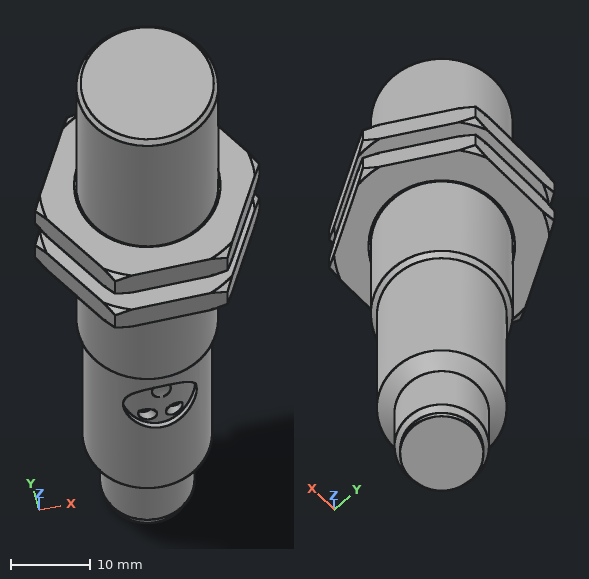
import cadquery as cq
import math

TOTAL_HEIGHT = 95.0
BARREL_DIA = 18.0
BARREL_BOTTOM = 39.6
SENSING_FACE_DIA = 16.8
BARREL_TOP_CHAMFER = 0.7
BODY_DIA = 16.4
BODY_TOP = 39.0
BODY_BOTTOM = 12.8
PLUG_DIA = 12.0
PLUG_TOP = 11.4
PLUG_TIP_DIA = 10.5
PLUG_CHAMFER_TOP = 1.9
PLUG_CHAMFER_BOTTOM = 0.95

FACE_RING_DIAS = (16.4, 13.5, 9.5)
FACE_RING_DEPTH = 0.5

SLEEVE_BOTTOM = 14.7
SLEEVE_TOP = 36.8
NOTCH_WIDTH = 10.5

PANEL_DIA = 9.6
PANEL_Z = 31.6
PANEL_FLOOR_RADIUS = 7.5
DIMPLE_BALL_DIA = 8.3
DIMPLE_DIA = 3.0
DIMPLE_Z = 34.3
LAMP_DIA = 2.4
LAMP_BASE_DIA = 1.4
LAMP_DEPTH = 0.9
LAMP_SPACING = 3.8
LAMP_Z = 29.1

NUT_CORNERS = 29.3
NUT_THICKNESS = 4.0
NUT_FACE_DIA = 27.4
NUT_CHAMFER_ANGLE = 30.0
NUT_BORE_CHAMFER = 0.3
NUT_BOTTOMS = (59.1, 67.1)


def notch_prism():
    """The U-shaped notch of the sleeve: round at the bottom, open at the top edge."""
    half_width = NOTCH_WIDTH / 2
    return (
        cq.Workplane("XZ")
        .moveTo(-half_width, SLEEVE_TOP)
        .lineTo(-half_width, PANEL_Z)
        .threePointArc((0, PANEL_Z - half_width), (half_width, PANEL_Z))
        .lineTo(half_width, SLEEVE_TOP)
        .close()
        .extrude(BODY_DIA)
    )


def panel_core():
    """The part of the body that lies below the panel floor."""
    height = SLEEVE_TOP - SLEEVE_BOTTOM
    return cq.Workplane("XY").workplane(offset=SLEEVE_BOTTOM).circle(PANEL_FLOOR_RADIUS).extrude(height)


def housing_blank():
    """Turned outline of the housing, from the plug up to the sensing face."""
    barrel_radius = BARREL_DIA / 2
    body_radius = BODY_DIA / 2
    outline = [
        (0, 0),
        (PLUG_TIP_DIA / 2, 0),
        (PLUG_TIP_DIA / 2, PLUG_CHAMFER_BOTTOM),
        (PLUG_DIA / 2, PLUG_CHAMFER_TOP),
        (PLUG_DIA / 2, PLUG_TOP),
        (body_radius, BODY_BOTTOM),
        (body_radius, BODY_TOP),
        (barrel_radius, BARREL_BOTTOM),
        (barrel_radius, TOTAL_HEIGHT - BARREL_TOP_CHAMFER),
        (SENSING_FACE_DIA / 2, TOTAL_HEIGHT),
        (0, TOTAL_HEIGHT),
    ]
    return cq.Workplane("XZ").polyline(outline).close().revolve(360, (0, 0), (0, 1))


def panel_recess():
    """Round pocket whose floor curves with the body."""
    pocket = cq.Workplane("XZ", origin=(0, 0, PANEL_Z)).circle(PANEL_DIA / 2).extrude(BODY_DIA)
    return pocket.cut(panel_core())


def lamp_recess(x):
    """Cone with a flat base, as wide as LAMP_DIA where it meets the panel floor."""
    mouth_y = -math.sqrt(PANEL_FLOOR_RADIUS**2 - x**2)
    flare = math.degrees(math.atan((LAMP_DIA - LAMP_BASE_DIA) / 2 / LAMP_DEPTH))
    plane = cq.Workplane("XZ", origin=(x, mouth_y + LAMP_DEPTH, LAMP_Z))
    return plane.circle(LAMP_BASE_DIA / 2).extrude(2 * LAMP_DEPTH, taper=-flare)


def cut_panel_details(housing):
    """Spherical dimple and two lamp recesses in the panel floor."""
    ball_radius = DIMPLE_BALL_DIA / 2
    ball_offset = math.sqrt(ball_radius**2 - (DIMPLE_DIA / 2) ** 2)
    ball_center = (0, -PANEL_FLOOR_RADIUS - ball_offset, DIMPLE_Z)
    ball = cq.Workplane("XY").sphere(ball_radius).translate(ball_center)
    housing = housing.cut(ball.intersect(panel_core()))
    for x in (-LAMP_SPACING / 2, LAMP_SPACING / 2):
        housing = housing.cut(lamp_recess(x))
    return housing


def cover_sleeve():
    """Sleeve wall from the panel floor radius to the body surface, less the notch."""
    return (
        cq.Workplane("XY")
        .workplane(offset=SLEEVE_BOTTOM)
        .circle(BODY_DIA / 2)
        .extrude(SLEEVE_TOP - SLEEVE_BOTTOM)
        .cut(panel_core())
        .cut(notch_prism())
    )


def make_housing():
    housing = cut_panel_details(housing_blank().cut(panel_recess()))

    housing = housing.union(cover_sleeve(), clean=False)
    for diameter in FACE_RING_DIAS:
        plane = cq.Workplane("XY").workplane(offset=TOTAL_HEIGHT - FACE_RING_DEPTH)
        housing = housing.union(plane.circle(diameter / 2).extrude(FACE_RING_DEPTH), clean=False)
    return housing


def make_nut(bottom):
    """Hexagon nut with chamfered corners at both ends, bored to fit the barrel."""
    corner_radius = NUT_CORNERS / 2
    face_radius = NUT_FACE_DIA / 2
    chamfer_height = (corner_radius - face_radius) * math.tan(math.radians(NUT_CHAMFER_ANGLE))
    turned_outline = [
        (0, 0),
        (face_radius, 0),
        (corner_radius, chamfer_height),
        (corner_radius, NUT_THICKNESS - chamfer_height),
        (face_radius, NUT_THICKNESS),
        (0, NUT_THICKNESS),
    ]
    turned = cq.Workplane("XZ").polyline(turned_outline).close().revolve(360, (0, 0), (0, 1))
    hexagon = cq.Workplane("XY").polygon(6, NUT_CORNERS).extrude(NUT_THICKNESS)
    blank = hexagon.intersect(turned)
    bored = blank.faces(">Z").workplane(origin=(0, 0, NUT_THICKNESS)).hole(BARREL_DIA)
    rims = bored.faces("|Z").edges("%CIRCLE").edges(cq.selectors.RadiusNthSelector(0))
    return rims.chamfer(NUT_BORE_CHAMFER).translate((0, 0, bottom))


housing = make_housing()
nuts = [make_nut(bottom) for bottom in NUT_BOTTOMS]

result = cq.Compound.makeCompound([housing.val(), *[nut.val() for nut in nuts]])